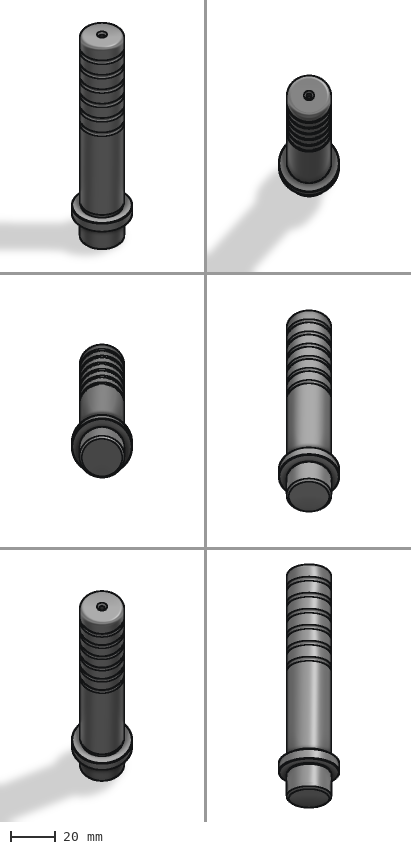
import cadquery as cq
import math

total_height = 113.0
lead_top = 3.0
flange_bottom = 13.0
flange_thickness = 5.0
flange_top = flange_bottom + flange_thickness
shaft_bottom = 20.0

shaft_diameter = 20.0
flange_diameter = 27.0
shaft_radius = shaft_diameter / 2
flange_radius = flange_diameter / 2
press_oversize = 0.02
press_radius = shaft_radius + press_oversize
neck_depth = 0.6
neck_radius = shaft_radius - neck_depth

bottom_chamfer = 1.0
flange_chamfer = 0.3
lower_neck_height = 1.0
top_fillet = 2.0

groove_count = 6
groove_pitch = 8.0
groove_width = 2.1
groove_depth = 0.7

hole_mouth_radius = 2.3
hole_radius = 1.2
hole_mouth_depth = hole_mouth_radius - hole_radius
hole_depth = 5.0
drill_half_angle = math.radians(60)


def revolve_profile(profile):
    """Turn a closed radius-height outline about the Z axis."""
    return profile.close().revolve(360, (0, 0, 0), (0, 1, 0))


def stepped_body():
    """Slightly tapered lead-in, press-fit end, flange, relief necks and shaft as one turned solid."""
    lower_neck_bottom = flange_bottom - lower_neck_height
    fillet_center_radius = shaft_radius - top_fillet
    fillet_center_height = total_height - top_fillet
    fillet_mid = top_fillet * math.cos(math.radians(45))
    profile = (
        cq.Workplane("XZ")
        .moveTo(0, 0)
        .lineTo(shaft_radius - bottom_chamfer, 0)
        .lineTo(shaft_radius, bottom_chamfer)
        .lineTo(press_radius, lead_top)
        .lineTo(press_radius, lower_neck_bottom)
        .lineTo(neck_radius, lower_neck_bottom + neck_depth)
        .lineTo(neck_radius, flange_bottom)
        .lineTo(flange_radius - flange_chamfer, flange_bottom)
        .lineTo(flange_radius, flange_bottom + flange_chamfer)
        .lineTo(flange_radius, flange_top - flange_chamfer)
        .lineTo(flange_radius - flange_chamfer, flange_top)
        .lineTo(neck_radius, flange_top)
        .lineTo(neck_radius, shaft_bottom - neck_depth)
        .lineTo(shaft_radius, shaft_bottom)
        .lineTo(shaft_radius, fillet_center_height)
        .threePointArc(
            (fillet_center_radius + fillet_mid, fillet_center_height + fillet_mid),
            (fillet_center_radius, total_height),
        )
        .lineTo(0, total_height)
    )
    return revolve_profile(profile)


def oil_groove(center_height):
    """Ring whose cross-section is a circle cutting the groove width and depth."""
    half_width = groove_width / 2
    section_radius = (half_width**2 + groove_depth**2) / (2 * groove_depth)
    ring_radius = shaft_radius - groove_depth + section_radius
    return cq.Workplane("XY").add(
        cq.Solid.makeTorus(ring_radius, section_radius, cq.Vector(0, 0, center_height))
    )


def center_hole():
    """45-degree countersunk mouth, short bore and conical drill point."""
    bore_top = total_height - hole_mouth_depth
    bore_bottom = total_height - hole_depth
    tip_length = hole_radius / math.tan(drill_half_angle)
    profile = (
        cq.Workplane("XZ")
        .moveTo(0, total_height)
        .lineTo(hole_mouth_radius, total_height)
        .lineTo(hole_radius, bore_top)
        .lineTo(hole_radius, bore_bottom)
        .lineTo(0, bore_bottom - tip_length)
    )
    return revolve_profile(profile)


result = stepped_body()
for index in range(1, groove_count + 1):
    result = result.cut(oil_groove(total_height - index * groove_pitch))
result = result.cut(center_hole())